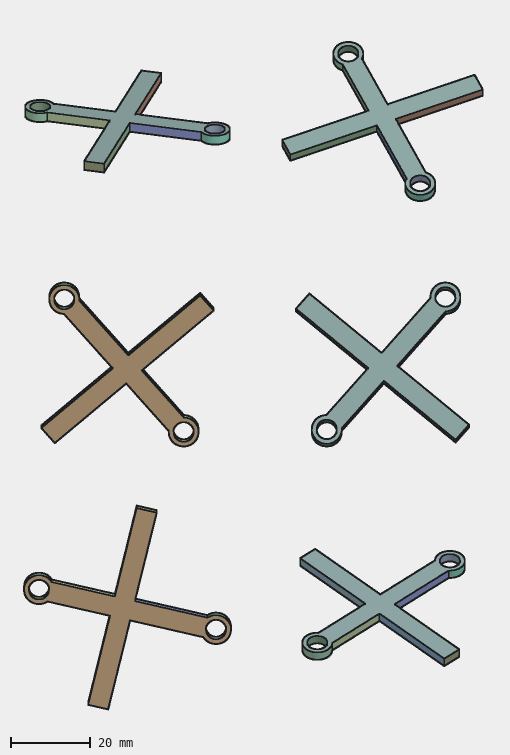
import cadquery as cq

length_x = 53.1
length_y = 52.6
thickness = 2.5

arm_width = 5.2
ring_diameter = 7.55
hole_diameter = 5.05

left_reach = 25.3
right_reach = length_x - left_reach
ring_radius = ring_diameter / 2
left_ring_x = ring_radius - left_reach
right_ring_x = right_reach - ring_radius
left_ring_y = 0.0
right_ring_y = -0.15
x_arm_y = (left_ring_y + right_ring_y) / 2
ring_centers = [(left_ring_x, left_ring_y), (right_ring_x, right_ring_y)]


def ring_cylinders(diameter):
    """One upright cylinder through the full thickness at each ring centre."""
    return cq.Workplane("XY").pushPoints(ring_centers).circle(diameter / 2).extrude(thickness)


y_arm = cq.Workplane("XY").rect(arm_width, length_y).extrude(thickness)
x_arm = (
    cq.Workplane("XY")
    .center((left_ring_x + right_ring_x) / 2, x_arm_y)
    .rect(right_ring_x - left_ring_x, arm_width)
    .extrude(thickness)
)

body = y_arm.union(x_arm).union(ring_cylinders(ring_diameter))
result = body.cut(ring_cylinders(hole_diameter))